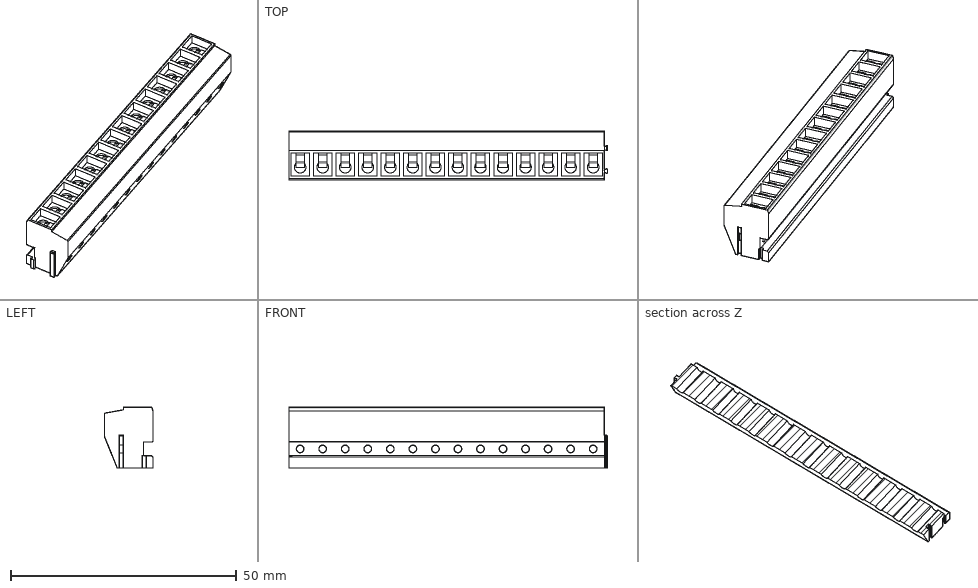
import cadquery as cq

pole_count = 14
body_length = 70.0
body_depth = 10.8
body_height = 13.5
pitch = body_length / pole_count

brow_bottom_z = 12.65
brow_bend_y = 0.2
brow_bend_z = 13.3
brow_top_y = 0.35
step_y = 6.6
step_bottom_z = 12.95
rear_top_z = 12.2
rear_chamfer = 0.2
rear_knee_z = 7.0
foot_rear_y = 8.0

rail_depth = 2.1
rail_bottom_z = 2.75
rail_top_z = 5.7
lip_chamfer = 0.35
overhang_chamfer = 0.2

test_hole_diameter = 1.6
test_hole_z = 4.25

pocket_width = 4.1
pocket_front_y = 0.9
pocket_rear_y = 6.0
pocket_depth = 2.1
pocket_floor_z = body_height - pocket_depth
screw_hole_diameter = 2.55
screw_hole_depth = 0.5
screw_hole_y = 2.8
screw_hole_floor_z = pocket_floor_z - screw_hole_depth

tongue_width = 1.9
tongue_height = 0.3
tongue_rear_slope = 0.4
tongue_edge_y = 4.0
tongue_bend_y = 3.6

rib_projection = 0.7
rib_neck_length = 0.2
dovetail_y = 7.1
dovetail_neck_width = 0.85
dovetail_head_width = 1.05
dovetail_head_start = 0.5
dovetail_height = 7.3
dovetail_tip_chamfer = 0.2
key_y = 2.0
key_neck_width = 0.7
key_head_width = 1.1
key_head_start = 0.5
key_height = rail_bottom_z
key_mouth_width = 1.05
key_mouth_depth = 0.15

recess_depth = 0.2
recess_bottom_z = 3.4
recess_top_z = 5.15


def make_block():
    profile = [
        (0, 0),
        (0, rail_bottom_z - lip_chamfer),
        (lip_chamfer, rail_bottom_z),
        (rail_depth, rail_bottom_z),
        (rail_depth, rail_top_z),
        (overhang_chamfer, rail_top_z),
        (0, rail_top_z + overhang_chamfer),
        (0, brow_bottom_z),
        (brow_bend_y, brow_bend_z),
        (brow_top_y, body_height),
        (step_y, body_height),
        (step_y, step_bottom_z),
        (body_depth - rear_chamfer, rear_top_z),
        (body_depth, rear_top_z - rear_chamfer),
        (body_depth, rear_knee_z),
        (foot_rear_y, 0),
    ]
    return cq.Workplane("YZ").polyline(profile).close().extrude(body_length)


def make_pocket():
    """Cutter for one screw pocket, centred on X = 0."""
    pocket = (
        cq.Workplane("XY", origin=(0, (pocket_front_y + pocket_rear_y) / 2, pocket_floor_z))
        .rect(pocket_width, pocket_rear_y - pocket_front_y)
        .extrude(body_height - pocket_floor_z)
    )
    screw_hole = (
        cq.Workplane("XY", origin=(0, screw_hole_y, screw_hole_floor_z))
        .circle(screw_hole_diameter / 2)
        .extrude(pocket_floor_z - screw_hole_floor_z)
    )
    tongue_top_z = pocket_floor_z + tongue_height
    tongue = (
        cq.Workplane("YZ")
        .polyline([
            (pocket_rear_y, screw_hole_floor_z),
            (pocket_rear_y, pocket_floor_z),
            (pocket_rear_y - tongue_rear_slope, tongue_top_z),
            (tongue_edge_y, tongue_top_z),
            (tongue_bend_y, pocket_floor_z),
            (screw_hole_y, screw_hole_floor_z),
        ])
        .close()
        .extrude(tongue_width / 2, both=True)
    )
    return pocket.union(screw_hole).cut(tongue)


def make_strip(half_outline, centre_y, height):
    """Upright strip mirrored about centre_y, from (X, half width) points in rising X."""
    near_side = [(x, centre_y - half_width) for x, half_width in half_outline]
    far_side = [(x, centre_y + half_width) for x, half_width in reversed(half_outline)]
    return cq.Workplane("XY").polyline(near_side + far_side).close().extrude(height)


def make_dovetail():
    neck = dovetail_neck_width / 2
    head = dovetail_head_width / 2
    half_outline = [
        (0, neck),
        (rib_neck_length, neck),
        (dovetail_head_start, head),
        (rib_projection, head),
    ]
    strip = make_strip(half_outline, dovetail_y, dovetail_height)
    return strip.edges(">X and >Z").chamfer(dovetail_tip_chamfer)


def make_key():
    neck = key_neck_width / 2
    head = key_head_width / 2
    half_outline = [
        (0, neck),
        (rib_neck_length, neck),
        (key_head_start, head),
        (rib_projection, neck),
    ]
    return make_strip(half_outline, key_y, key_height)


def make_key_mouth():
    """Cutter for the flared mouth of the key groove."""
    half_outline = [(0, key_mouth_width / 2), (key_mouth_depth, key_neck_width / 2)]
    return make_strip(half_outline, key_y, key_height)


def make_recess():
    return (
        cq.Workplane("YZ", origin=(0, dovetail_y, (recess_bottom_z + recess_top_z) / 2))
        .rect(dovetail_neck_width, recess_top_z - recess_bottom_z)
        .extrude(rib_projection + recess_depth)
    )


def make_test_hole():
    """Cutter for one test hole, centred on X = 0."""
    rear_plane = cq.Workplane("XZ", origin=(0, body_depth, test_hole_z))
    return rear_plane.circle(test_hole_diameter / 2).extrude(body_depth)


result = make_block()

for rib in (make_dovetail(), make_key()):
    result = result.cut(rib)
    result = result.union(rib.translate((body_length, 0, 0)))
result = result.cut(make_key_mouth()).cut(make_recess())

pole_cutter = make_pocket().union(make_test_hole())
for pole in range(pole_count):
    result = result.cut(pole_cutter.translate(((pole + 0.5) * pitch, 0, 0)))